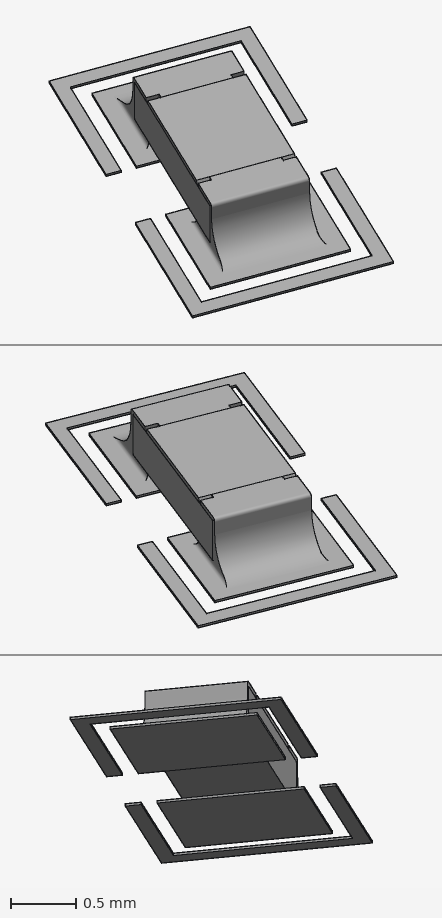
import cadquery as cq
import math


length = 2.91
width = 1.66
height = 0.47

print_thickness = 0.02
bracket_line = 0.125
bracket_inner_x = 0.297
pad_outer_x = 1.202
pad_inner_x = bracket_inner_x
pad_width = 1.158

chip_length = 1.525
chip_width = 0.81
chip_bottom = 0.058
coat_thickness = 0.038
chip_top = height - coat_thickness
coat_top_length = 0.985
coat_slope = 0.023
coat_bottom_length = coat_top_length + 2 * coat_slope

terminal_wall = 0.038
terminal_outer_x = chip_length / 2 + terminal_wall
terminal_corner_radius = 0.03
solder_radius = 0.303
solder_outer_x = terminal_outer_x + solder_radius
solder_inner_x = 0.45
skirt_radius = 0.03
skirt_top = print_thickness + skirt_radius

notch_outer_x = 0.53
notch_inner_x = coat_top_length / 2
notch_length = 0.108


def mirrored(body):
    """The same body at the opposite end of the chip."""
    return body.mirror("YZ")


def arc_middle(center_x, center_y, radius, degrees):
    """Point on a circle, used as the middle point of an arc."""
    angle = math.radians(degrees)
    return (center_x + radius * math.cos(angle), center_y + radius * math.sin(angle))


def plate(x_min, x_max, plate_width):
    """Rectangular printed plate resting on Z = 0, centred on Y = 0."""
    return cq.Workplane("XY").box(
        x_max - x_min, plate_width, print_thickness, centered=(False, True, False)
    ).translate((x_min, 0, 0))


def make_bracket():
    """C-shaped silkscreen bracket at the -X end."""
    outer = plate(-length / 2, -bracket_inner_x, width)
    opening = plate(-length / 2 + bracket_line, -bracket_inner_x, width - 2 * bracket_line)
    return outer.cut(opening)


def make_chip():
    """Plain ceramic block."""
    return cq.Workplane("XY").box(
        chip_length, chip_width, chip_top - chip_bottom, centered=(True, True, False)
    ).translate((0, 0, chip_bottom))


def make_coat():
    """Protective layer on the chip, with sloping ends that meet the terminals."""
    return (
        cq.Workplane("XZ")
        .moveTo(-coat_bottom_length / 2, chip_top)
        .lineTo(-coat_top_length / 2, height)
        .lineTo(coat_top_length / 2, height)
        .lineTo(coat_bottom_length / 2, chip_top)
        .close()
        .extrude(chip_width / 2, both=True)
    )


def terminal_side_profile():
    """Terminal and solder seen along Y, before the chip and coat are cut out."""
    solder_center = (-solder_outer_x, print_thickness + solder_radius)
    corner_center = (-terminal_outer_x + terminal_corner_radius, height - terminal_corner_radius)
    skirt_center = (-solder_inner_x, skirt_top)
    return (
        cq.Workplane("XZ")
        .moveTo(-solder_outer_x, print_thickness)
        .threePointArc(
            arc_middle(*solder_center, solder_radius, -45),
            (-terminal_outer_x, solder_center[1]),
        )
        .lineTo(-terminal_outer_x, corner_center[1])
        .threePointArc(
            arc_middle(*corner_center, terminal_corner_radius, 135),
            (corner_center[0], height),
        )
        .lineTo(-solder_inner_x - skirt_radius, height)
        .lineTo(-solder_inner_x - skirt_radius, skirt_top)
        .threePointArc(
            arc_middle(*skirt_center, skirt_radius, 225),
            (-solder_inner_x, print_thickness),
        )
        .close()
        .extrude(width / 2, both=True)
    )


def terminal_end_profile():
    """Terminal and solder seen along X: straight sides on a flared skirt."""
    side_y = chip_width / 2
    foot_y = side_y + skirt_radius
    return (
        cq.Workplane("YZ")
        .moveTo(-foot_y, print_thickness)
        .threePointArc(arc_middle(-foot_y, skirt_top, skirt_radius, -45), (-side_y, skirt_top))
        .lineTo(-side_y, height)
        .lineTo(side_y, height)
        .lineTo(side_y, skirt_top)
        .threePointArc(arc_middle(foot_y, skirt_top, skirt_radius, 225), (foot_y, print_thickness))
        .close()
        .extrude(length / 2, both=True)
    )


def make_notches():
    """Two cutters that open the coat seam at the chip's long sides."""
    cutter = cq.Workplane("XY").box(
        notch_outer_x - notch_inner_x, notch_length, coat_thickness, centered=False
    ).translate((-notch_outer_x, chip_width / 2 - notch_length, chip_top))
    return cutter.union(cutter.mirror("XZ"))


def make_terminal(chip, coat):
    """Pad, solder and end cap at the -X end, as one conductor."""
    cap = terminal_side_profile().intersect(terminal_end_profile())
    cap = cap.cut(chip).cut(coat).cut(make_notches())
    pad = plate(-pad_outer_x, -pad_inner_x, pad_width)
    return cap.union(pad)


chip = make_chip()
coat = make_coat()
terminal = make_terminal(chip, coat)
bracket = make_bracket()

bodies = [chip.solids().val(), coat.solids().val()]
for end_body in (terminal, bracket):
    bodies.append(end_body.solids().val())
    bodies.append(mirrored(end_body).solids().val())

result = cq.Compound.makeCompound(bodies)